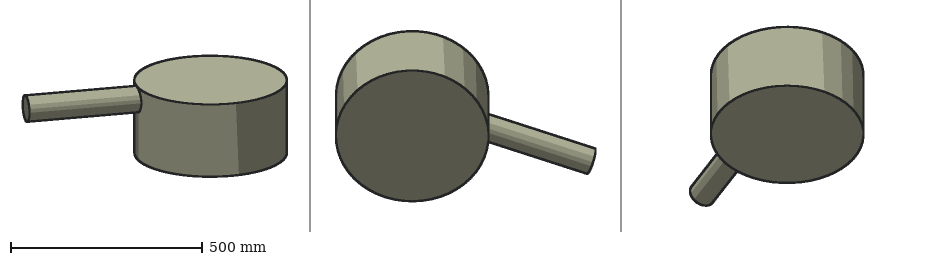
import cadquery as cq

body_diameter = 400.0
body_height = 200.0
handle_diameter = 70.0
handle_reach = 300.0

body_radius = body_diameter / 2
handle_radius = handle_diameter / 2
handle_axis_height = body_height - handle_radius
handle_length = body_radius + handle_reach


def make_body():
    """Upright round drum standing on Z = 0."""
    return cq.Workplane("XY").circle(body_radius).extrude(body_height)


def make_handle():
    """Round bar running from the body axis out toward -Y."""
    return (
        cq.Workplane("XZ")
        .center(0, handle_axis_height)
        .circle(handle_radius)
        .extrude(handle_length)
    )


result = make_body().union(make_handle())